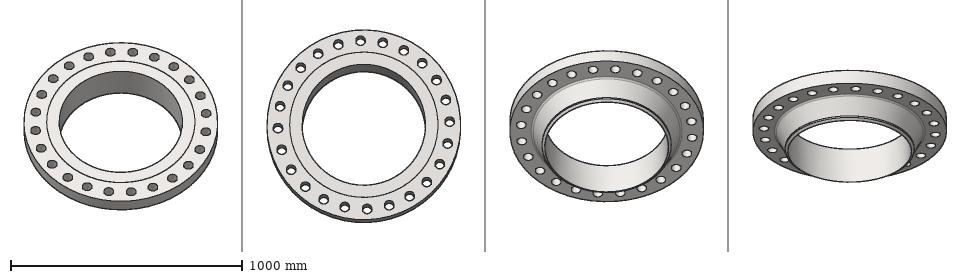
import cadquery as cq
import math

FLANGE_DIAMETER = 838.2
OVERALL_HEIGHT = 165.1
FLANGE_THICKNESS = 66.7
FLANGE_UNDERSIDE_Z = OVERALL_HEIGHT - FLANGE_THICKNESS
BORE_DIAMETER = 533.4

RAISED_FACE_DIAMETER = 641.35
RAISED_FACE_HEIGHT = 1.6
RING_TOP_Z = OVERALL_HEIGHT - RAISED_FACE_HEIGHT

BOLT_COUNT = 24
BOLT_CIRCLE_DIAMETER = 743.0
BOLT_HOLE_DIAMETER = 41.3

HUB_BASE_DIAMETER = 641.35
HUB_FILLET_RADIUS = 10.0
WELD_END_DIAMETER = 558.8
WELD_LAND_WIDTH = 1.6
WELD_BEVEL_ANGLE = 37.5
NECK_TOP_Z = 16.0


def make_body():
    """Revolve the ring, raised face, hub and bore about the Z axis."""
    bore_radius = BORE_DIAMETER / 2
    flange_radius = FLANGE_DIAMETER / 2
    raised_radius = RAISED_FACE_DIAMETER / 2
    hub_base_radius = HUB_BASE_DIAMETER / 2
    neck_radius = WELD_END_DIAMETER / 2
    land_radius = bore_radius + WELD_LAND_WIDTH
    bevel_height = (neck_radius - land_radius) * math.tan(math.radians(WELD_BEVEL_ANGLE))

    cone_tilt = math.atan2(hub_base_radius - neck_radius, FLANGE_UNDERSIDE_Z - NECK_TOP_Z)
    fillet_sweep = math.pi / 2 - cone_tilt
    tangent_length = HUB_FILLET_RADIUS * math.tan(fillet_sweep / 2)
    fillet_center_r = hub_base_radius + tangent_length
    fillet_center_z = FLANGE_UNDERSIDE_Z - HUB_FILLET_RADIUS

    def fillet_point(angle_from_flange):
        return (
            fillet_center_r - HUB_FILLET_RADIUS * math.sin(angle_from_flange),
            fillet_center_z + HUB_FILLET_RADIUS * math.cos(angle_from_flange),
        )

    profile = (
        cq.Workplane("XZ")
        .moveTo(bore_radius, 0)
        .lineTo(land_radius, 0)
        .lineTo(neck_radius, bevel_height)
        .lineTo(neck_radius, NECK_TOP_Z)
        .lineTo(*fillet_point(fillet_sweep))
        .threePointArc(fillet_point(fillet_sweep / 2), fillet_point(0))
        .lineTo(flange_radius, FLANGE_UNDERSIDE_Z)
        .lineTo(flange_radius, RING_TOP_Z)
        .lineTo(raised_radius, RING_TOP_Z)
        .lineTo(raised_radius, OVERALL_HEIGHT)
        .lineTo(bore_radius, OVERALL_HEIGHT)
        .close()
    )
    return profile.revolve(360, (0, 0, 0), (0, 1, 0))


def make_bolt_holes():
    """Through-hole cutters, evenly spaced, with the first on the +X axis."""
    return (
        cq.Workplane("XY")
        .workplane(offset=FLANGE_UNDERSIDE_Z)
        .polarArray(BOLT_CIRCLE_DIAMETER / 2, 0, 360, BOLT_COUNT)
        .circle(BOLT_HOLE_DIAMETER / 2)
        .extrude(FLANGE_THICKNESS)
    )


result = make_body().cut(make_bolt_holes())